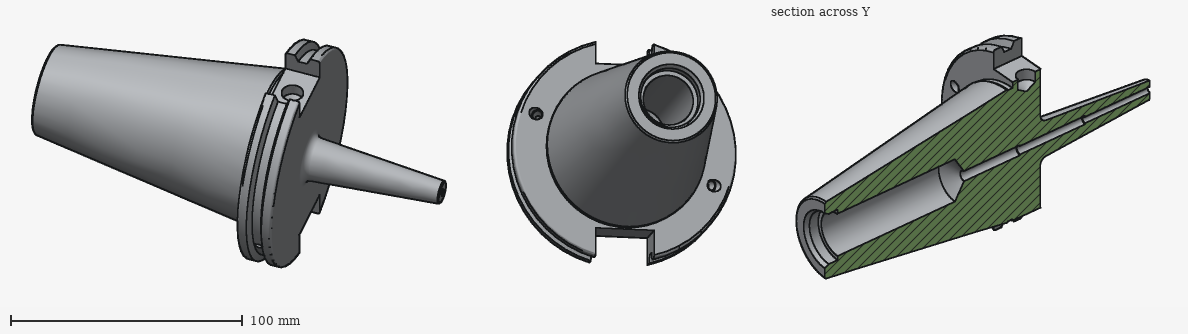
import cadquery as cq
import math

length = 181.6
taper_end = 101.5
flange_start = 104.8
flange_width = 15.8
flange_end = flange_start + flange_width
flange_middle = flange_start + flange_width / 2

taper_ratio = 7 / 24
gauge_diameter = 70.0
small_radius = (gauge_diameter - taper_ratio * taper_end) / 2
small_end_chamfer = 0.7
neck_radius = 69.2 / 2
neck_start = taper_end + 0.9

flange_radius = 98.0 / 2
flange_edge_radius = 1.0
groove_radius = 45.8
groove_floor_width = 4.0
groove_slope_width = 1.5

nose_base_radius = 19.0 / 2
nose_tip_radius = 10.4 / 2
nose_blend = 3.3
tip_chamfer = 0.5

mouth_radius = 28.7 / 2
recess_radius = 26.2 / 2
mouth_chamfer_depth = 2.2
recess_depth = 7.0
bore_radius = 22.0 / 2
bore_depth = 72.6
drill_half_angle = 59.0
duct_radius = 5.0 / 2
duct_end = 109.0
throat_radius = 4.2 / 2
throat_end = 145.3
tip_hole_radius = 3.0 / 2

slot_width = 25.6
upper_slot_height = 37.6
lower_slot_height = 35.2
dimple_diameter = 9.5
dimple_depth = 5.5

port_angle = 20.0
port_radius = 41.8
port_tilt = 30.0
port_diameter = 5.0
port_depth = 2.2
port_duct_diameter = 4.2
cross_hole_diameter = 3.3


def drill(start, direction, diameter, depth, point=False):
    """Cylinder drilled from start, optionally ending in a conical drill point."""
    radius = diameter / 2
    origin = cq.Vector(*start)
    axis = cq.Vector(*direction).normalized()
    tool = cq.Workplane(obj=cq.Solid.makeCylinder(radius, depth, origin, axis))
    if point:
        point_length = radius / math.tan(math.radians(drill_half_angle))
        tool = tool.union(cq.Workplane(
            obj=cq.Solid.makeCone(radius, 0, point_length, origin + axis * depth, axis)))
    return tool


def revolve_about_x(profile):
    return profile.close().revolve(360, (0, 0, 0), (1, 0, 0))


def make_taper():
    profile = (
        cq.Workplane("XY")
        .moveTo(0, 0)
        .lineTo(0, small_radius - small_end_chamfer)
        .lineTo(small_end_chamfer, small_radius + small_end_chamfer * taper_ratio / 2)
        .lineTo(taper_end, gauge_diameter / 2)
        .lineTo(neck_start, neck_radius)
        .lineTo(flange_start, neck_radius)
        .lineTo(flange_start, 0)
    )
    return revolve_about_x(profile)


def make_flange():
    disc = (
        cq.Workplane("YZ", origin=(flange_start, 0, 0))
        .circle(flange_radius)
        .extrude(flange_width)
        .edges()
        .fillet(flange_edge_radius)
    )
    half_floor = groove_floor_width / 2
    half_mouth = half_floor + groove_slope_width
    groove = revolve_about_x(
        cq.Workplane("XY")
        .moveTo(flange_middle - half_floor, groove_radius)
        .lineTo(flange_middle - half_mouth, flange_radius)
        .lineTo(flange_middle + half_mouth, flange_radius)
        .lineTo(flange_middle + half_floor, groove_radius)
    )
    return disc.cut(groove)


def make_nose():
    blend_end = flange_end + nose_blend
    blend_middle = nose_blend * (1 - math.sqrt(0.5))
    profile = (
        cq.Workplane("XY")
        .moveTo(flange_end, 0)
        .lineTo(flange_end, nose_base_radius + nose_blend)
        .threePointArc(
            (flange_end + blend_middle, nose_base_radius + blend_middle),
            (blend_end, nose_base_radius),
        )
        .lineTo(length - tip_chamfer, nose_tip_radius)
        .lineTo(length, nose_tip_radius - tip_chamfer)
        .lineTo(length, 0)
    )
    return revolve_about_x(profile)


def make_bore():
    cone_length = (bore_radius - duct_radius) / math.tan(math.radians(drill_half_angle))
    profile = (
        cq.Workplane("XY")
        .moveTo(0, 0)
        .lineTo(0, mouth_radius)
        .lineTo(mouth_chamfer_depth, recess_radius)
        .lineTo(recess_depth, recess_radius)
        .lineTo(recess_depth, bore_radius)
        .lineTo(bore_depth, bore_radius)
        .lineTo(bore_depth + cone_length, duct_radius)
        .lineTo(duct_end, duct_radius)
        .lineTo(duct_end, throat_radius)
        .lineTo(throat_end, throat_radius)
        .lineTo(throat_end, tip_hole_radius)
        .lineTo(length, tip_hole_radius)
        .lineTo(length, 0)
    )
    return revolve_about_x(profile)


def make_drive_slot(floor_height, side):
    """Slot across the flange; side is +1 above the axis and -1 below it."""
    slot_depth = flange_radius - floor_height
    middle_height = side * (floor_height + slot_depth / 2)
    return cq.Workplane("XY", origin=(flange_middle, 0, middle_height)).box(
        flange_width, slot_width, slot_depth)


def make_coolant_port(angle):
    """Inclined stepped port in the flange face, ending at a radial hole from the groove."""
    radial_y = math.cos(math.radians(angle))
    radial_z = math.sin(math.radians(angle))
    tilt = math.radians(port_tilt)
    direction = (math.cos(tilt), -radial_y * math.sin(tilt), -radial_z * math.sin(tilt))

    lead = port_diameter
    start_radius = port_radius + lead * math.sin(tilt)
    start = (
        flange_start - lead * math.cos(tilt),
        radial_y * start_radius,
        radial_z * start_radius,
    )
    meeting_depth = (flange_middle - flange_start) / math.cos(tilt)
    meeting_radius = port_radius - meeting_depth * math.sin(tilt)
    port = drill(start, direction, port_diameter, lead + port_depth)
    port_duct = drill(start, direction, port_duct_diameter, lead + meeting_depth)

    cross_start = (flange_middle, radial_y * flange_radius, radial_z * flange_radius)
    inward = (0, -radial_y, -radial_z)
    cross_depth = flange_radius - meeting_radius + cross_hole_diameter / 2
    cross_hole = drill(cross_start, inward, cross_hole_diameter, cross_depth)
    return port.union(port_duct).union(cross_hole)


body = make_taper().union(make_flange()).union(make_nose())
body = body.cut(make_bore())
body = body.cut(make_drive_slot(upper_slot_height, 1))
body = body.cut(make_drive_slot(lower_slot_height, -1))
body = body.cut(drill(
    (flange_middle, 0, upper_slot_height), (0, 0, -1), dimple_diameter, dimple_depth, point=True))
for side_angle in (port_angle, port_angle + 180):
    body = body.cut(make_coolant_port(side_angle))

result = body